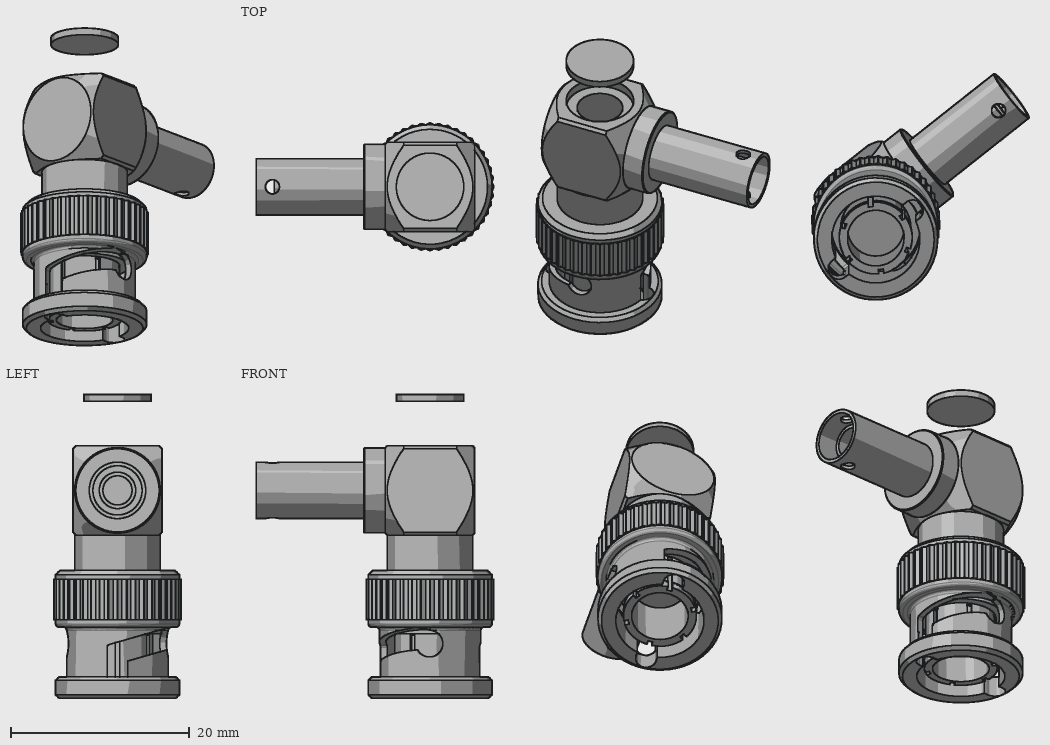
import cadquery as cq
import math


barrel_radius = 5.68
bore_radius = 4.93
bore_top = 7.25
flange_radius = 6.95
flange_height = 2.4
flange_chamfer = 0.4
collar_bottom = 7.95
collar_bottom_round = 0.4
collar_top = 14.32
collar_top_chamfer = 0.5
barrel_fillet = 0.35
neck_radius = 4.8

knurl_teeth = 44
knurl_radius = 7.15
knurl_tip_flat = 0.1
knurl_bottom = 8.8
knurl_top = 13.33
knurl_core_radius = 6.45

slot_width = 2.35
ramp_angle = 16.0
ramp_corner_z = 4.2
ramp_corner_fillet = 0.35
entry_end_radius = 6.5
entry_top = 4.05
lock_hole_radius = 1.5
lock_hole_x = -0.07
lock_hole_z = 6.12

sleeve_radius = 3.95
sleeve_bore_radius = 3.15
sleeve_slot_floor = 3.6
sleeve_bottom = 0.95
lip_radius = 4.08
lip_top = 2.05
sleeve_slots = 6
sleeve_slot_width = 0.55
sleeve_slot_top = 7.07

block_side = 10.0
block_edge_chamfer = 0.35
arm_z = 23.25
block_end_radius = 4.8
cap_radius = 3.78
cap_thickness = 0.78
recess_depth = 1.02
access_bore_radius = 2.55

arm_end_x = -19.45
shoulder_x = -7.4
shoulder_radius = 4.75
shoulder_chamfer = 0.1
arm_radius = 3.15
arm_bore_radius = 2.75
inner_tube_radius = 2.05
inner_tube_bore_radius = 1.63
inner_tube_end_x = -17.45
solder_hole_x = -17.62
solder_hole_radius = 0.78

overall_height = 34.0

block_half = block_side / 2
block_bottom = arm_z - block_half
block_top = arm_z + block_half


def cylinder_z(radius, bottom, top):
    return cq.Workplane("XY").workplane(offset=bottom).circle(radius).extrude(top - bottom)


def cylinder_x(radius, x_start, x_end):
    plane = cq.Workplane("YZ", origin=(x_start, 0, arm_z))
    return plane.circle(radius).extrude(x_end - x_start)


def make_coupling():
    """Turned outside of the coupling, with a groove left for the knurl band."""
    flange_rim = flange_radius - flange_chamfer
    fillet_arc_end = (barrel_radius + barrel_fillet, collar_bottom)
    fillet_arc_start = (barrel_radius, collar_bottom - barrel_fillet)
    return (
        cq.Workplane("XZ")
        .moveTo(0, 0)
        .lineTo(flange_rim, 0)
        .lineTo(flange_radius, flange_chamfer)
        .lineTo(flange_radius, flange_height - flange_chamfer)
        .lineTo(flange_rim, flange_height)
        .lineTo(barrel_radius, flange_height)
        .lineTo(*fillet_arc_start)
        .radiusArc(fillet_arc_end, barrel_fillet)
        .lineTo(flange_radius - collar_bottom_round, collar_bottom)
        .radiusArc((flange_radius, collar_bottom + collar_bottom_round), -collar_bottom_round)
        .lineTo(flange_radius, knurl_bottom)
        .lineTo(knurl_core_radius, knurl_bottom)
        .lineTo(knurl_core_radius, knurl_top)
        .lineTo(flange_radius, knurl_top)
        .lineTo(flange_radius, collar_top - collar_top_chamfer)
        .lineTo(flange_radius - collar_top_chamfer, collar_top)
        .lineTo(neck_radius, collar_top)
        .lineTo(neck_radius, block_bottom)
        .lineTo(0, block_bottom)
        .close()
        .revolve(360, (0, 0, 0), (0, 1, 0))
    )


def make_knurl():
    """Band of V-shaped teeth with narrow flat tips, one tooth centred on +X."""
    pitch = 2 * math.pi / knurl_teeth
    tip_half_angle = knurl_tip_flat / 2 / knurl_radius
    points = []
    for tooth in range(knurl_teeth):
        centre = tooth * pitch
        corners = (
            (knurl_radius, centre - tip_half_angle),
            (knurl_radius, centre + tip_half_angle),
            (flange_radius, centre + pitch / 2),
        )
        for radius, angle in corners:
            points.append((radius * math.cos(angle), radius * math.sin(angle)))
    band = cq.Workplane("XY").workplane(offset=knurl_bottom).polyline(points).close()
    return band.extrude(knurl_top - knurl_bottom)


def make_sleeve():
    """Contact sleeve with an end lip, grooved lengthwise by shallow radial slots."""
    sleeve = cylinder_z(sleeve_radius, sleeve_bottom, bore_top)
    sleeve = sleeve.union(cylinder_z(lip_radius, sleeve_bottom, lip_top))
    sleeve = sleeve.cut(cylinder_z(sleeve_bore_radius, sleeve_bottom, bore_top))
    slot = cq.Workplane("XY").box(
        lip_radius, sleeve_slot_width, sleeve_slot_top, centered=(False, True, False)
    )
    slot = slot.cut(cylinder_z(sleeve_slot_floor, 0, sleeve_slot_top))
    for index in range(sleeve_slots):
        sleeve = sleeve.cut(slot.rotate((0, 0, 0), (0, 0, 1), index * 360 / sleeve_slots))
    return sleeve


def make_bayonet_cutter():
    """Entry keyway, rising ramp and lock hole on the -X / -Y side, outside the bore."""
    half = slot_width / 2
    slope = math.tan(math.radians(ramp_angle))
    ramp_height = slot_width / math.cos(math.radians(ramp_angle))
    far_y = -barrel_radius
    far_z = ramp_corner_z + (-half - far_y) * slope
    upper_corner_z = ramp_corner_z + ramp_height - slot_width * slope

    ramp = (
        cq.Workplane("YZ")
        .moveTo(half, entry_top)
        .lineTo(half, upper_corner_z)
        .lineTo(far_y, far_z + ramp_height)
        .lineTo(far_y, far_z)
        .lineTo(-half, ramp_corner_z)
        .lineTo(-half, entry_top)
        .close()
        .extrude(-flange_radius)
    )
    inner_corner = cq.selectors.NearestToPointSelector((-flange_radius / 2, half, upper_corner_z))
    ramp = ramp.edges(inner_corner).fillet(ramp_corner_fillet)

    entry_centre = entry_end_radius - half
    entry = (
        cq.Workplane("XY")
        .moveTo(0, half)
        .lineTo(-entry_centre, half)
        .threePointArc((-entry_end_radius, 0), (-entry_centre, -half))
        .lineTo(0, -half)
        .close()
        .extrude(entry_top)
    )
    lock_hole = cq.Workplane("XZ", origin=(lock_hole_x, 0, lock_hole_z))
    lock_hole = lock_hole.circle(lock_hole_radius).extrude(flange_radius)
    cutter = ramp.union(entry).union(lock_hole)
    return cutter.cut(cylinder_z(bore_radius, 0, collar_top))


def make_block():
    """Cube with chamfered long edges and both ends turned down at 45 degrees."""
    block = cq.Workplane("XY").box(block_side, block_side, block_side)
    block = block.edges("|X").chamfer(block_edge_chamfer)
    mid_radius = block_end_radius + block_half
    turned = (
        cq.Workplane("XY")
        .moveTo(-block_half, 0)
        .lineTo(-block_half, block_end_radius)
        .lineTo(0, mid_radius)
        .lineTo(block_half, block_end_radius)
        .lineTo(block_half, 0)
        .close()
        .revolve(360, (0, 0, 0), (1, 0, 0))
    )
    return block.intersect(turned).translate((0, 0, arm_z))


def make_arm():
    """Shoulder and crimp tube with a recessed inner tube, cross-drilled near the end."""
    shoulder = cylinder_x(shoulder_radius, shoulder_x, -block_half)
    shoulder = shoulder.faces("<X").chamfer(shoulder_chamfer)
    tube = cylinder_x(arm_radius, arm_end_x, shoulder_x)
    tube = tube.cut(cylinder_x(arm_bore_radius, arm_end_x, shoulder_x))
    hole = cylinder_z(solder_hole_radius, block_bottom, block_top).translate((solder_hole_x, 0, 0))
    tube = tube.cut(hole)
    inner_tube = cylinder_x(inner_tube_radius, inner_tube_end_x, shoulder_x)
    inner_tube = inner_tube.cut(cylinder_x(inner_tube_bore_radius, inner_tube_end_x, shoulder_x))
    return shoulder.union(tube).union(inner_tube)


def make_housing():
    """Coupling, elbow block and arm joined, with the mating bore and the top recess cut."""
    housing = make_coupling().union(make_knurl())
    housing = housing.cut(cylinder_z(bore_radius, 0, bore_top))
    bayonet = make_bayonet_cutter()
    for angle in (0, 180):
        housing = housing.cut(bayonet.rotate((0, 0, 0), (0, 0, 1), angle))
    housing = housing.union(make_sleeve()).union(make_block()).union(make_arm())
    housing = housing.cut(cylinder_z(cap_radius, block_top - recess_depth, block_top))
    return housing.cut(cylinder_z(access_bore_radius, arm_z, block_top))


def make_cap():
    """Cover disc lifted clear of its recess in the top of the block."""
    return cylinder_z(cap_radius, overall_height - cap_thickness, overall_height)


housing = make_housing()
cap = make_cap()
result = cq.Compound.makeCompound([housing.val(), cap.val()])